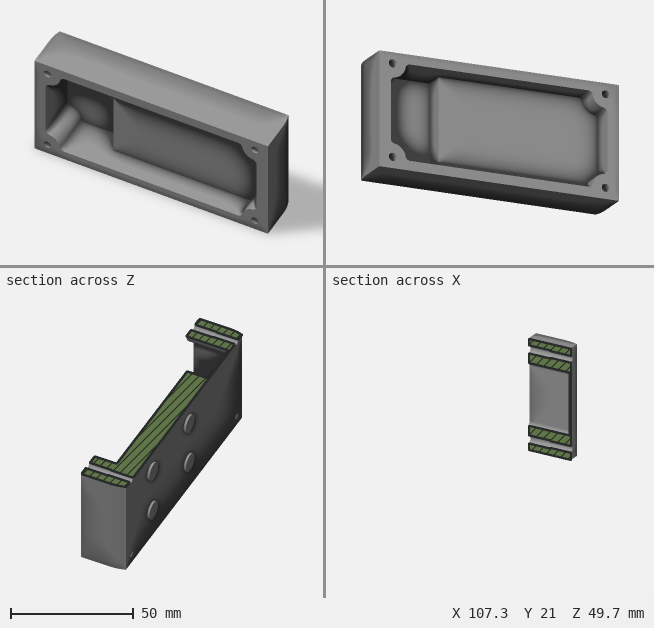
import cadquery as cq

length = 107.3
height = 49.7
depth = 20.0
side_curve_depth = 6.1
back_rim = 0.3
side_curve_inset = 1.0
side_curve_radius = (side_curve_depth**2 + side_curve_inset**2) / (2 * side_curve_inset)

screw_diameter = 2.8
screw_entry_diameter = 3.4
screw_entry_depth = 10.0
screw_inset_x = 6.0
screw_inset_z = 4.8
screw_x = length / 2 - screw_inset_x
screw_z = height / 2 - screw_inset_z

end_wall = 5.2
long_wall = 4.2
cavity_length = length - 2 * end_wall
cavity_height = height - 2 * long_wall
post_radius = 5.9
post_blend_radius = 2.0
back_wall = 1.0
deep_depth = depth - back_wall
shallow_depth = 10.0
step_from_end = 31.2
step_x = step_from_end - length / 2

pad_diameter = 8.0
pad_thickness = 1.0
pad_pitch_x = 33.0
pad_pitch_z = 21.0
pad_center_x = 12.9


def make_body():
    """Block whose two ends curve inward, tangentially, towards the back face."""
    half = length / 2
    back_half = half - side_curve_inset
    curve_end = depth - back_rim
    curve_start = curve_end - side_curve_depth
    outline = (
        cq.Workplane("XY")
        .moveTo(-half, 0)
        .lineTo(half, 0)
        .lineTo(half, curve_start)
        .radiusArc((back_half, curve_end), -side_curve_radius)
        .lineTo(back_half, depth)
        .lineTo(-back_half, depth)
        .lineTo(-back_half, curve_end)
        .radiusArc((-half, curve_start), -side_curve_radius)
        .close()
    )
    return outline.extrude(height / 2, both=True)


def extrude_back(sketch, distance):
    """Extrude a sketch on the XZ plane towards +Y."""
    return sketch.extrude(-distance)


def screw_points():
    """Centres of the four screw holes, as (X, Z)."""
    return [(sx * screw_x, sz * screw_z) for sx in (-1, 1) for sz in (-1, 1)]


def make_cavity():
    """Cavity volume: corners notched by the screw posts, with a raised floor at +X."""
    opening = extrude_back(cq.Workplane("XZ").rect(cavity_length, cavity_height), deep_depth)
    posts = extrude_back(cq.Workplane("XZ").pushPoints(screw_points()).circle(post_radius), deep_depth)
    cavity = opening.cut(posts).edges("|Y").fillet(post_blend_radius)
    raised_floor = cq.Workplane("XY").box(
        length, deep_depth - shallow_depth, height, centered=(False, False, True)
    )
    return cavity.cut(raised_floor.translate((step_x, shallow_depth, 0)))


def make_screw_holes():
    """Through holes, each with a slightly wider stretch at the open face."""
    centers = cq.Workplane("XZ").pushPoints(screw_points())
    through = extrude_back(centers.circle(screw_diameter / 2), depth)
    entry = extrude_back(centers.circle(screw_entry_diameter / 2), screw_entry_depth)
    return through.union(entry)


def make_pads():
    """Four round pads standing on the back face."""
    pads = (
        cq.Workplane("XZ", origin=(pad_center_x, depth, 0))
        .rarray(pad_pitch_x, pad_pitch_z, 2, 2)
        .circle(pad_diameter / 2)
    )
    return extrude_back(pads, pad_thickness)


result = make_body().cut(make_cavity()).cut(make_screw_holes()).union(make_pads())